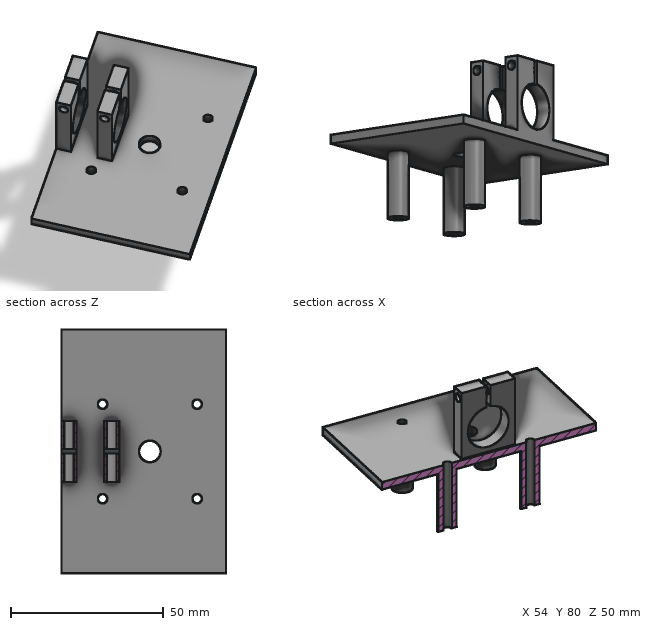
import cadquery as cq

plate_length_x = 54.0
plate_width_y = 80.0
plate_thickness = 3.0

pattern_center_x = 29.0
standoff_spacing = 31.0
standoff_diameter = 7.0
standoff_length = 22.0
screw_hole_diameter = 3.0
shaft_hole_diameter = 7.0

clamp_thickness = 5.0
clamp_width = 20.0
clamp_height = 25.0
clamp_gap = 9.0
clamp_start_positions = [0.0, clamp_thickness + clamp_gap]
bore_diameter = 15.2
bore_center_height = 9.5
slit_width = 1.5
pinch_hole_diameter = 3.0
pinch_hole_below_top = 3.0


def make_plate():
    return cq.Workplane("XY").box(
        plate_length_x, plate_width_y, plate_thickness, centered=(False, True, False)
    ).translate((0, 0, -plate_thickness))


def standoff_pattern(workplane):
    return workplane.center(pattern_center_x, 0).rect(
        standoff_spacing, standoff_spacing, forConstruction=True
    ).vertices()


def make_standoffs():
    plate_underside = cq.Workplane("XY").workplane(offset=-plate_thickness)
    return standoff_pattern(plate_underside).circle(standoff_diameter / 2).extrude(-standoff_length)


def make_screw_holes():
    hole_depth = plate_thickness + standoff_length
    return standoff_pattern(cq.Workplane("XY")).circle(screw_hole_diameter / 2).extrude(-hole_depth)


def make_shaft_hole():
    return (
        cq.Workplane("XY")
        .center(pattern_center_x, 0)
        .circle(shaft_hole_diameter / 2)
        .extrude(-plate_thickness)
    )


def make_clamp(start_x):
    block = cq.Workplane("XY").box(
        clamp_thickness, clamp_width, clamp_height, centered=(False, True, False)
    )
    bore = (
        cq.Workplane("YZ")
        .center(0, bore_center_height)
        .circle(bore_diameter / 2)
        .extrude(clamp_thickness)
    )
    slit = cq.Workplane("XY").box(
        clamp_thickness, slit_width, clamp_height - bore_center_height, centered=(False, True, False)
    ).translate((0, 0, bore_center_height))
    pinch_hole = (
        cq.Workplane("XZ")
        .center(clamp_thickness / 2, clamp_height - pinch_hole_below_top)
        .circle(pinch_hole_diameter / 2)
        .extrude(clamp_width / 2, both=True)
    )
    return block.cut(bore).cut(slit).cut(pinch_hole).translate((start_x, 0, 0))


result = make_plate().union(make_standoffs())
for clamp_start_x in clamp_start_positions:
    result = result.union(make_clamp(clamp_start_x))
result = result.cut(make_screw_holes()).cut(make_shaft_hole())